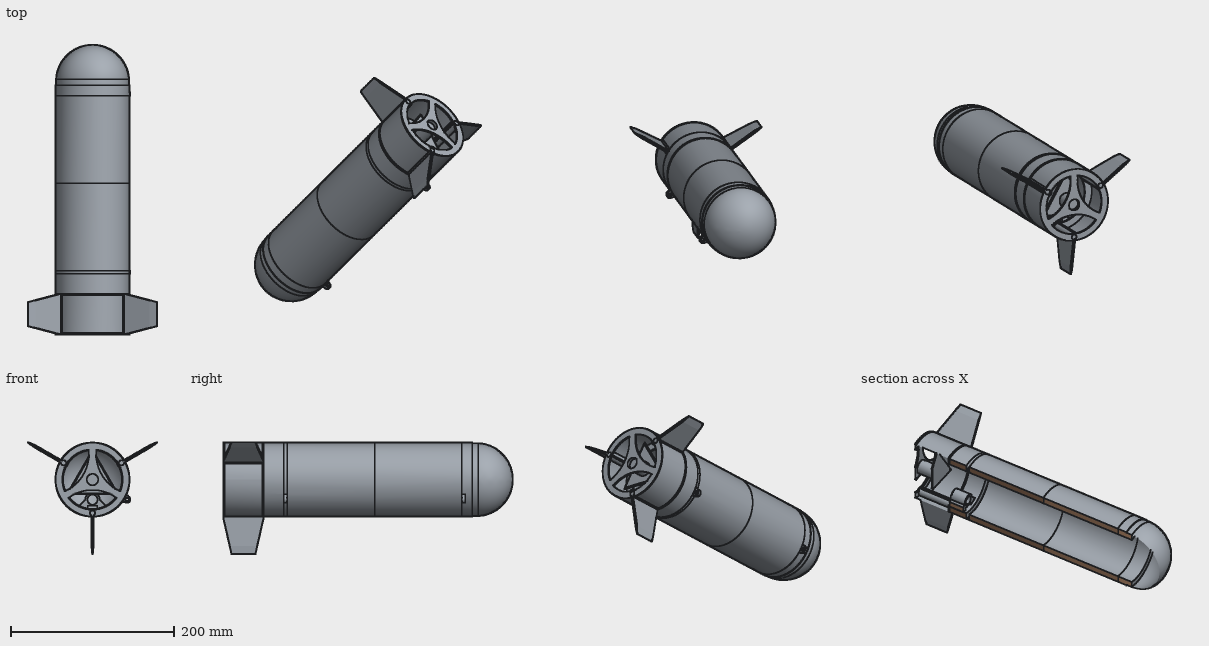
import cadquery as cq
import math


total_length = 354.8
tail_length = 50.0
skirt_length = 28.4
tube_length = 107.0
skirt_end = tail_length + skirt_length
lower_tube_end = skirt_end + tube_length
upper_tube_end = lower_tube_end + tube_length

body_radius = 91.0 / 2
shell_radius = 90.0 / 2
bore_radius = 72.0 / 2

dome_radius = 90.0 / 2
dome_wall = 1.0
collar_length = 12.4
collar_end = upper_tube_end + collar_length
shoulder_end = 312.6
dome_center = total_length - dome_radius
dome_bore_radius = dome_radius - dome_wall

pocket_radius = 74.0 / 2
web_thickness = 2.0
hub_reach = 12.7
hub_arc_radius = 49.4
flange_start = 24.0
flange_aft_reach = 17.0
flange_forward_reach = 18.2
flange_turn = 30
post_radius = 18.0 / 2
post_hole_radius = 14.0 / 2
post_hole_depth = 4.5

fin_angles = (30, 150, 270)
bead_radius = 6.35 / 2
bead_offset = 40.9
sleeve_radius = 11.0 / 2
sleeve_slit = 1.6
fin_thickness = 3.0
fin_tip_thickness = 1.0
fin_span = 91.17
fin_taper_length = 10.0
fin_root_offset = 46.5
fin_tip_chord = 29.5
fin_edge_chamfer = 0.45

lug_angle = -30
lug_offset = 48.8
lug_hole_radius = 4.17 / 2
lug_wall = 2.0
lug_outer_radius = lug_hole_radius + lug_wall
lug_length = 4.2
lug_root_offset = 41.0
lug_shoulder_offset = 44.5
lug_root_half_width = 5.5

clip_angle = 270
clip_offset = 24.5
clip_outer_radius = 17.7 / 2
clip_hole_radius = 12.5 / 2
clip_length = 20.0
clip_foot_half_width = 20.0
clip_slit = 1.5
clip_gap_start = 32.0
clip_gap_half_width = 6.0


def section(y):
    """Sketch plane across the axis at station y; a negative extrusion runs along +Y."""
    return cq.Workplane("XZ", origin=(0, y, 0))


def disc(radius, y, length, x=0):
    return section(y).center(x, 0).circle(radius).extrude(-length)


def bar(x_start, x_end, width, y, length):
    """Bar along the axis, spanning x_start to x_end and centred on z = 0."""
    return section(y).center((x_start + x_end) / 2, 0).rect(x_end - x_start, width).extrude(-length)


def turned(shape, angle):
    """Turn a shape laid along +X about the rocket axis to the given angle."""
    return shape.rotate((0, 0, 0), (0, 1, 0), -angle)


def lug(y):
    """Eyelet on a flared root, for the launch rod."""
    root = (
        section(y)
        .moveTo(lug_root_offset, lug_root_half_width)
        .lineTo(lug_shoulder_offset, lug_root_half_width)
        .lineTo(lug_offset, lug_outer_radius)
        .lineTo(lug_offset, -lug_outer_radius)
        .lineTo(lug_shoulder_offset, -lug_root_half_width)
        .lineTo(lug_root_offset, -lug_root_half_width)
        .close()
        .extrude(-lug_length)
    )
    barrel = disc(lug_outer_radius, y, lug_length, x=lug_offset)
    hole = disc(lug_hole_radius, y, lug_length, x=lug_offset)
    return turned(root.union(barrel).cut(hole), lug_angle)


def make_nose():
    """Hollow spherical dome on a stepped collar, with the forward lug."""
    slant = math.sqrt(0.5)
    neck_radius = math.sqrt(dome_radius**2 - (dome_center - collar_end) ** 2)
    shoulder_radius = math.sqrt(dome_bore_radius**2 - (shoulder_end - dome_center) ** 2)
    outer_mid = (dome_radius * slant, dome_center + dome_radius * slant)
    inner_mid = (dome_bore_radius * slant, dome_center + dome_bore_radius * slant)
    shell = (
        cq.Workplane("XY")
        .moveTo(bore_radius, upper_tube_end)
        .lineTo(body_radius, upper_tube_end)
        .lineTo(body_radius, collar_end)
        .lineTo(neck_radius, collar_end)
        .threePointArc(outer_mid, (0, total_length))
        .lineTo(0, dome_center + dome_bore_radius)
        .threePointArc(inner_mid, (shoulder_radius, shoulder_end))
        .lineTo(bore_radius, shoulder_end)
        .close()
        .revolve(360, (0, 0, 0), (0, 1, 0))
    )
    return shell.union(lug(upper_tube_end))


def make_upper_tube():
    tube = disc(body_radius, lower_tube_end, tube_length)
    return tube.cut(disc(bore_radius, lower_tube_end, tube_length))


def make_lower_tube():
    """Tube and skirt in one, with the aft lug over an inner groove."""
    length = lower_tube_end - tail_length
    lug_start = skirt_end - lug_length
    tube = disc(body_radius, tail_length, length).union(lug(lug_start))
    tube = tube.cut(disc(bore_radius, tail_length, length))
    return tube.cut(disc(shell_radius, lug_start, lug_length))


def tail_shell():
    """Thin shell closed by the aft web and by a forward ring."""
    inner_length = tail_length - 2 * web_thickness
    shell = disc(body_radius, 0, tail_length)
    shell = shell.cut(disc(shell_radius, web_thickness, inner_length))
    shell = shell.cut(disc(bore_radius, tail_length - web_thickness, web_thickness))
    opening = disc(pocket_radius, 0, web_thickness)
    hub_arc = disc(hub_arc_radius, 0, web_thickness, x=hub_reach + hub_arc_radius)
    lens = hub_arc.intersect(opening)
    for angle in fin_angles:
        shell = shell.cut(turned(lens, angle))
    return shell


def tail_flange():
    """Triangular flange on the post; a triangle's circumscribed diameter is 4 inradii."""
    flange = (
        section(flange_start)
        .polygon(3, 4 * flange_aft_reach)
        .workplane(offset=-web_thickness)
        .polygon(3, 4 * flange_forward_reach)
        .loft(ruled=True)
    )
    return turned(flange, -flange_turn)


def fin_socket():
    """Everything removed from the tail for one fin: blade slot, bead hole and sleeve slit."""
    blade_slot = bar(bead_offset, 2 * body_radius, fin_thickness, 0, tail_length)
    bead_hole = disc(bead_radius, 0, tail_length, x=bead_offset)
    slit = bar(bead_offset - sleeve_radius, bead_offset, sleeve_slit, 0, tail_length)
    return blade_slot.union(bead_hole).union(slit)


def make_tail():
    tail = tail_shell()
    tail = tail.union(disc(post_radius, 0, flange_start)).union(tail_flange())
    tail = tail.cut(disc(post_hole_radius, 0, post_hole_depth))
    sleeve = disc(sleeve_radius, 0, tail_length, x=bead_offset)
    sleeve = sleeve.intersect(disc(body_radius, 0, tail_length))
    for angle in fin_angles:
        tail = tail.union(turned(sleeve, angle))
    for angle in fin_angles:
        tail = tail.cut(turned(fin_socket(), angle))
    return tail


def make_fin(angle):
    """Trapezoidal blade with a thinned, rounded tip and a bead along its root."""
    middle = tail_length / 2
    half_tip_chord = fin_tip_chord / 2
    half = fin_thickness / 2
    tip_radius = fin_tip_thickness / 2
    taper_start = fin_span - fin_taper_length
    planform = (
        cq.Workplane("XY")
        .moveTo(bead_offset, 0)
        .lineTo(fin_root_offset, 0)
        .lineTo(fin_span, middle - half_tip_chord)
        .lineTo(fin_span, middle + half_tip_chord)
        .lineTo(fin_root_offset, tail_length)
        .lineTo(bead_offset, tail_length)
        .close()
        .extrude(half, both=True)
    )
    profile = (
        section(0)
        .moveTo(bead_offset, half)
        .lineTo(taper_start, half)
        .lineTo(fin_span - tip_radius, tip_radius)
        .threePointArc((fin_span, 0), (fin_span - tip_radius, -tip_radius))
        .lineTo(taper_start, -half)
        .lineTo(bead_offset, -half)
        .close()
        .extrude(-tail_length)
    )
    blade = planform.intersect(profile)
    sloping_edges = blade.edges("not (|X or |Y or |Z)").edges("<Y or >Y")
    blade = sloping_edges.chamfer(fin_edge_chamfer)
    bead = disc(bead_radius, 0, tail_length, x=bead_offset)
    return turned(blade.union(bead), angle)


def make_clip():
    """Slit round clip on a spreading foot that rests on the tube bore."""
    foot = (
        section(tail_length)
        .moveTo(clip_offset, clip_outer_radius)
        .lineTo(bore_radius, clip_foot_half_width)
        .lineTo(bore_radius, -clip_foot_half_width)
        .lineTo(clip_offset, -clip_outer_radius)
        .close()
        .extrude(-clip_length)
    )
    clip = disc(clip_outer_radius, tail_length, clip_length, x=clip_offset).union(foot)
    clip = clip.intersect(disc(bore_radius, tail_length, clip_length))
    clip = clip.cut(disc(clip_hole_radius, tail_length, clip_length, x=clip_offset))
    clip = clip.cut(bar(clip_offset, body_radius, clip_slit, tail_length, clip_length))
    gap = bar(clip_gap_start, body_radius, 2 * clip_gap_half_width, tail_length, clip_length)
    return turned(clip.cut(gap), clip_angle)


nose = make_nose()
upper_tube = make_upper_tube()
lower_tube = make_lower_tube()
tail = make_tail()
fins = [make_fin(angle) for angle in fin_angles]
clip = make_clip()

result = cq.Compound.makeCompound(
    [
        nose.val(),
        upper_tube.val(),
        lower_tube.val(),
        tail.val(),
        *[fin.val() for fin in fins],
        clip.val(),
    ]
)